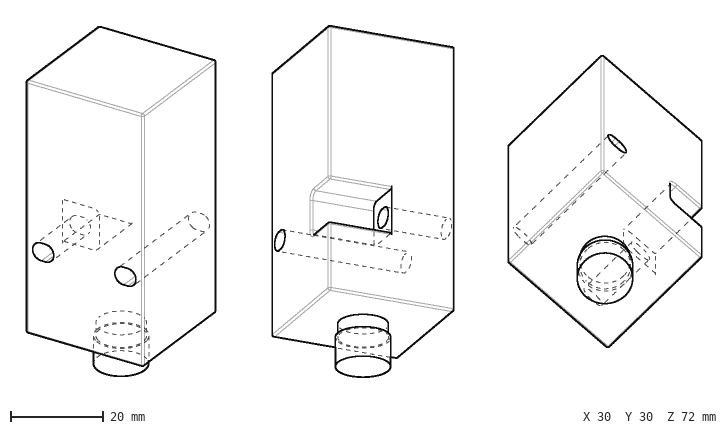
import cadquery as cq

body_width = 30.0
total_height = 72
edge_radius = 0.5

neck_diameter = 11.0
neck_length = 3.1
plug_diameter = 12.0
plug_length = 6.9
body_height = total_height - neck_length - plug_length

feature_height = 21.0
slot_spacing = 21.0
slot_length = 5.4
slot_width = 4.3

pocket_height = 10.2
pocket_depth = 9.5
pocket_corner_radius = 1.65


def make_pocket():
    """Space cut from mid-width to the +Y face, with rounded inner corners."""
    face_x = -body_width / 2
    pocket = cq.Workplane("XY").box(pocket_depth, body_width / 2, pocket_height, centered=(False, False, True))
    pocket = pocket.edges("|Y and >X").fillet(pocket_corner_radius)
    return pocket.translate((face_x, 0, feature_height))


def make_housing():
    """Block with the pocket, rounded on every outer edge except the upright one at the pocket's end wall."""
    block = cq.Workplane("XY").box(body_width, body_width, body_height, centered=(True, True, False))
    block = block.cut(make_pocket())
    outer_faces = block.faces("<X or >X or <Y or >Y or <Z or >Z")
    end_wall_edge = cq.selectors.NearestToPointSelector((-body_width / 2, 0, feature_height))
    rounded_edges = outer_faces.edges(cq.selectors.InverseSelector(end_wall_edge))
    return rounded_edges.fillet(edge_radius)


def make_connector():
    neck = cq.Workplane("XY").circle(neck_diameter / 2).extrude(-neck_length)
    plug = cq.Workplane("XY").workplane(offset=-neck_length).circle(plug_diameter / 2).extrude(-plug_length)
    return neck.union(plug)


def make_slots():
    """Two horizontal slots passing through the housing along Y."""
    return (
        cq.Workplane("XZ", origin=(0, 0, feature_height))
        .pushPoints([(-slot_spacing / 2, 0), (slot_spacing / 2, 0)])
        .slot2D(slot_length, slot_width)
        .extrude(body_width / 2, both=True)
    )


result = make_housing().union(make_connector()).cut(make_slots())